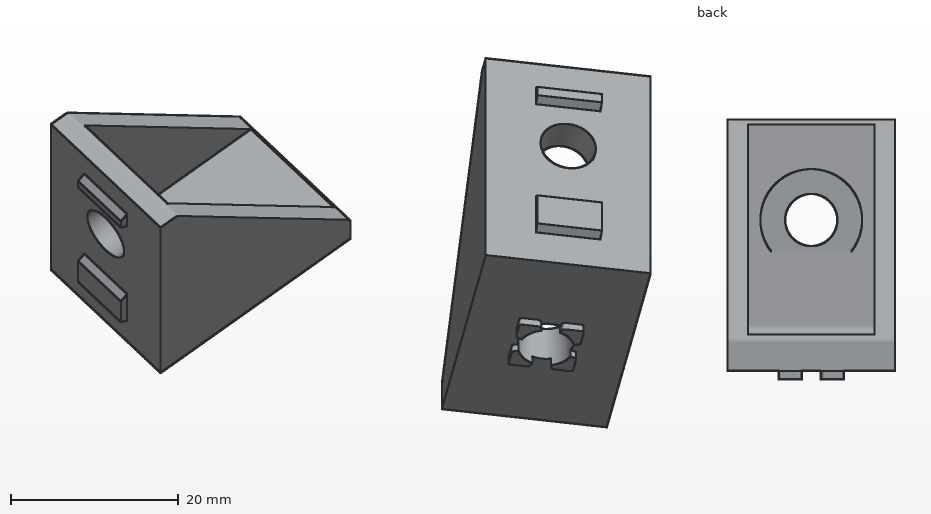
import cadquery as cq
import math

width = 20.0
leg = 30.0
lug_height = 31 - leg
lug_half_width = 3.9

top_land = 2.6
end_height = 3.85
edge_radius = 1.02

pocket_width = 15.07
floor_z = 4.37
wall_y_at_floor = 4.55
wall_y_at_top = 3.2
pocket_radius = 1.1

upright_hole_z = 18.0
base_hole_y = 15.05
hole_inner_radius = 3.1
hole_outer_radius = 3.35
boss_radius = 6.08
boss_face_y = 4.03

upright_lugs = [(4.3, 9.75), (23.85, 26.3)]
lug_taper = 0.6

base_lug_tip = 1.12
base_lug_radius = 0.37


def make_body():
    body = (
        cq.Workplane("YZ")
        .polyline([(0, 0), (leg, 0), (leg, end_height), (top_land, leg), (0, leg)])
        .close()
        .extrude(width / 2, both=True)
    )
    slope_ends = cq.selectors.BoxSelector(
        (-width, top_land - 0.3, end_height - 0.3), (width, leg + 0.3, leg + 0.3), boundingbox=True
    )
    return body.edges("|X").edges(slope_ends).fillet(edge_radius)


def make_pocket():
    """Pocket with a leaning front wall and a rounded foot, open along the slope."""
    pocket = (
        cq.Workplane("YZ")
        .polyline([(wall_y_at_floor, floor_z), (leg, floor_z), (leg, leg), (wall_y_at_top, leg)])
        .close()
        .extrude(pocket_width / 2, both=True)
    )
    return pocket.edges("|X").edges("<Z").edges("<Y").fillet(pocket_radius)


def make_boss():
    """Upright seat for the screw head on the leaning wall."""
    boss = cq.Solid.makeCylinder(
        boss_radius, boss_face_y, cq.Vector(0, 0, upright_hole_z), cq.Vector(0, 1, 0)
    )
    return cq.Workplane(boss)


def make_hole(length, start, direction):
    """Tapered hole that is widest at the mounting face."""
    hole = cq.Solid.makeCone(
        hole_outer_radius, hole_inner_radius, length, cq.Vector(*start), cq.Vector(*direction)
    )
    return cq.Workplane(hole)


def make_upright_lug(bottom, top):
    return (
        cq.Workplane("YZ")
        .moveTo(0, bottom)
        .lineTo(0, top)
        .lineTo(-lug_height, top - lug_taper)
        .lineTo(-lug_height, bottom + lug_taper)
        .close()
        .extrude(lug_half_width, both=True)
    )


def make_base_lug():
    """Corner lug with a concave side on the hole rim and ends pointing at the hole's axis."""
    rim = math.sqrt(hole_outer_radius**2 - base_lug_tip**2)
    corner = lug_half_width
    end = corner * base_lug_tip / rim
    middle = hole_outer_radius * math.sqrt(0.5)
    lug = (
        cq.Workplane("XY")
        .moveTo(base_lug_tip, rim)
        .lineTo(end, corner)
        .lineTo(corner, corner)
        .lineTo(corner, end)
        .lineTo(rim, base_lug_tip)
        .threePointArc((middle, middle), (base_lug_tip, rim))
        .close()
        .extrude(-lug_height)
    )
    outer_corners = cq.selectors.BoxSelector((end - 0.03, end - 0.03, -leg), (leg, leg, leg))
    rim_corners = cq.selectors.BoxSelector((0, 0, -leg), (rim + 0.03, rim + 0.03, leg))
    rounded_corners = cq.selectors.SubtractSelector(outer_corners, rim_corners)
    return lug.edges("|Z").edges(rounded_corners).fillet(base_lug_radius)


result = make_body().cut(make_pocket()).union(make_boss())
result = result.cut(make_hole(boss_face_y, (0, 0, upright_hole_z), (0, 1, 0)))
result = result.cut(make_hole(floor_z, (0, base_hole_y, 0), (0, 0, 1)))

for lug_bottom, lug_top in upright_lugs:
    result = result.union(make_upright_lug(lug_bottom, lug_top))

base_lug = make_base_lug()
for quarter in range(4):
    placed_lug = base_lug.rotate((0, 0, 0), (0, 0, 1), 90 * quarter).translate((0, base_hole_y, 0))
    result = result.union(placed_lug)